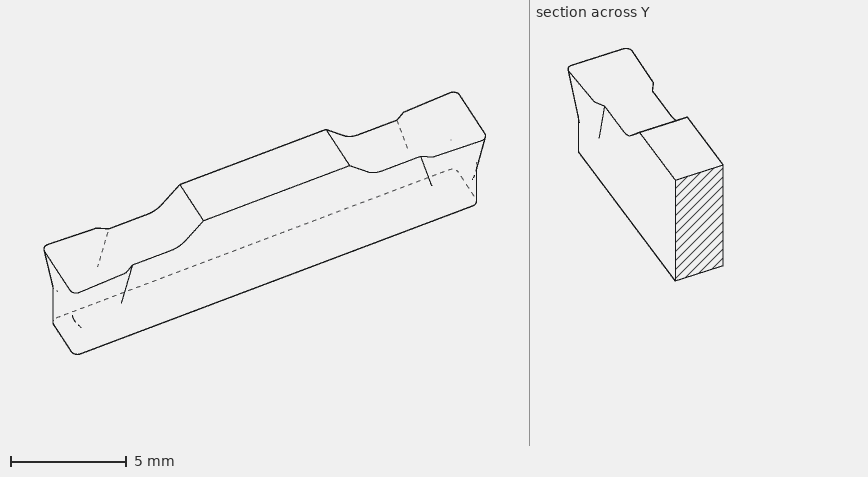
import cadquery as cq
import math

body_width = 2.3
body_length = 19.49
body_corner_radius = 0.3
overall_height = 5.76
rake_height = 4.6
raised_length = 7.04
ramp_angle = 45.0
ramp_radius = 1.0

overall_length = 19.99
head_width = 3.05
head_side_length = 2.6
head_back_taper = 2.5
shoulder_angle = 31.0
relief_angle = 7.0
head_depth = 3.2
nose_radius = 0.3
shoulder_radius = 0.15


def make_body():
    """Bar with ramps, blended into the low top faces, leading up to its centre."""
    half_length = body_length / 2
    half_raised = raised_length / 2
    ramp_run = (overall_height - rake_height) / math.tan(math.radians(ramp_angle))
    ramp_foot = half_raised + ramp_run

    profile = [
        (-half_length, 0),
        (half_length, 0),
        (half_length, rake_height),
        (ramp_foot, rake_height),
        (half_raised, overall_height),
        (-half_raised, overall_height),
        (-ramp_foot, rake_height),
        (-half_length, rake_height),
    ]
    bar = cq.Workplane("YZ").polyline(profile).close().extrude(body_width / 2, both=True)
    bar = bar.edges("|Z").fillet(body_corner_radius)

    for side in (-1, 1):
        foot_point = (0, side * ramp_foot, rake_height)
        bar = bar.edges(cq.selectors.NearestToPointSelector(foot_point)).fillet(ramp_radius)
    return bar


def make_head():
    """Head at the +Y end, narrowing downward by the relief angle on every flank."""
    tip = overall_length / 2
    half_width = head_width / 2
    shoulder_y = tip - head_side_length
    taper_slope = math.tan(math.radians(head_back_taper))
    tip_half_width = half_width + nose_radius * taper_slope
    shoulder_half_width = tip_half_width - head_side_length * taper_slope
    root_half_width = body_width / 4
    shoulder_run = (shoulder_half_width - root_half_width) / math.tan(math.radians(shoulder_angle))
    root_y = shoulder_y - shoulder_run

    outline = [
        (-tip_half_width, tip),
        (tip_half_width, tip),
        (shoulder_half_width, shoulder_y),
        (root_half_width, root_y),
        (-root_half_width, root_y),
        (-shoulder_half_width, shoulder_y),
    ]
    rake_plane = cq.Plane(origin=(0, 0, rake_height), xDir=(1, 0, 0), normal=(0, 0, -1))
    head = (
        cq.Workplane(rake_plane)
        .polyline([(x, -y) for x, y in outline])
        .close()
        .extrude(head_depth, taper=relief_angle)
    )

    middle_z = rake_height - head_depth / 2
    for side in (-1, 1):
        nose = (side * tip_half_width, tip, middle_z)
        shoulder = (side * shoulder_half_width, shoulder_y, middle_z)
        head = head.edges(cq.selectors.NearestToPointSelector(nose)).fillet(nose_radius)
        head = head.edges(cq.selectors.NearestToPointSelector(shoulder)).fillet(shoulder_radius)
    return head


head = make_head()
opposite_head = head.mirror("XZ")
result = make_body().union(head).union(opposite_head).clean()